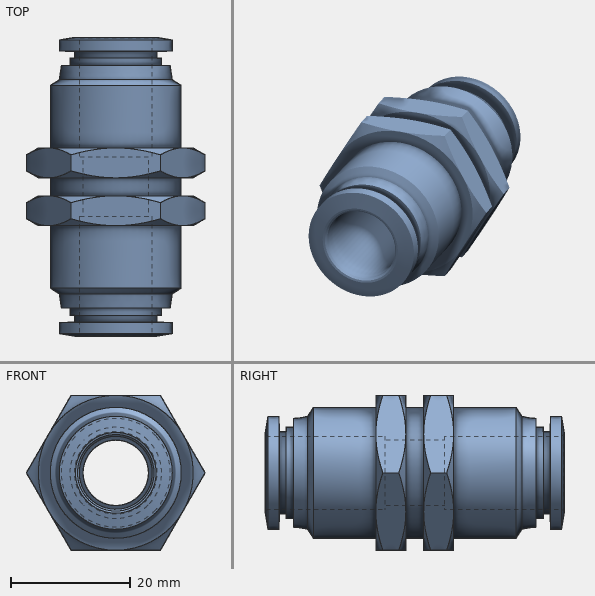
import cadquery as cq
import math

length = 50.2
half_length = length / 2

body_radius = 11.0
sleeve_base_radius = 9.5
sleeve_tip_radius = 9.15
collar_radius = 7.7
neck_radius = 6.95
flange_radius = 9.5

rim_start_depth = 0.45
rim_end_depth = 2.3
flange_back_depth = 2.4
collar_depth = 3.5
sleeve_tip_depth = 4.7
sleeve_base_depth = 7.15
body_depth = 8.1

mouth_radius = 6.8
lead_in_radius = 6.45
tube_radius = 6.1
through_radius = 5.45
lead_in_depth = 0.1
lead_in_end_depth = 0.45
tube_stop_depth = 20.1

nut_across_flats = 26.0
nut_thickness = 5.0
nut_inner_face = 1.5
nut_chamfer_angle = 30.0


def revolve_about_y(profile):
    """Revolve a closed (radius, y) outline about Y."""
    return cq.Workplane("XY").polyline(profile).close().revolve(360, (0, 0, 0), (0, 1, 0))


def symmetric_revolve(points):
    """Revolve (radius, depth) points given from one end, mirrored to the other end."""
    near_side = [(radius, depth - half_length) for radius, depth in points]
    far_side = [(radius, -y) for radius, y in reversed(near_side)]
    return revolve_about_y(near_side + far_side)


def outer_body():
    return symmetric_revolve([
        (0, 0),
        (mouth_radius, 0),
        (flange_radius, rim_start_depth),
        (flange_radius, rim_end_depth),
        (neck_radius, flange_back_depth),
        (neck_radius, collar_depth),
        (collar_radius, collar_depth),
        (collar_radius, sleeve_tip_depth),
        (sleeve_tip_radius, sleeve_tip_depth),
        (sleeve_base_radius, sleeve_base_depth),
        (body_radius, body_depth),
    ])


def stepped_bore():
    return symmetric_revolve([
        (0, 0),
        (mouth_radius, 0),
        (lead_in_radius, lead_in_depth),
        (tube_radius, lead_in_end_depth),
        (tube_radius, tube_stop_depth),
        (through_radius, tube_stop_depth),
    ])


def nut():
    """Solid hexagon on the -Y side, with both faces chamfered by a cone."""
    apothem = nut_across_flats / 2
    corner_radius = apothem / math.cos(math.pi / 6)
    chamfer_height = (corner_radius - apothem) * math.tan(math.radians(nut_chamfer_angle))
    inner_y = -nut_inner_face
    outer_y = inner_y - nut_thickness
    hexagon = (
        cq.Workplane("XZ", origin=(0, inner_y, 0))
        .polygon(6, 2 * corner_radius)
        .extrude(nut_thickness)
    )
    envelope = revolve_about_y([
        (0, outer_y),
        (apothem, outer_y),
        (corner_radius, outer_y + chamfer_height),
        (corner_radius, inner_y - chamfer_height),
        (apothem, inner_y),
        (0, inner_y),
    ])
    return hexagon.intersect(envelope)


front_nut = nut()
back_nut = front_nut.mirror("XZ")
result = outer_body().union(front_nut).union(back_nut).cut(stepped_bore())